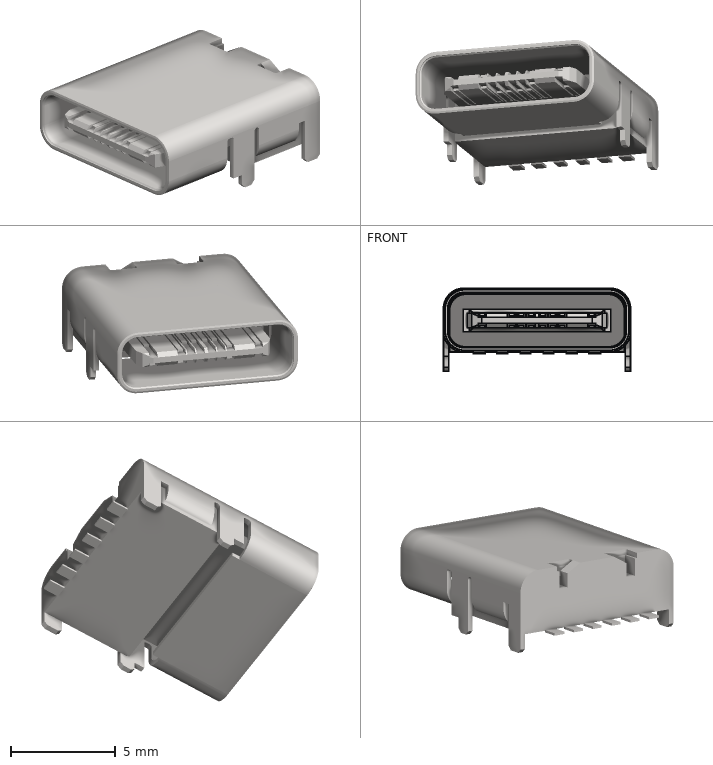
import cadquery as cq
import math


SHELL_WIDTH = 8.94
SHELL_HEIGHT = 3.06
SHELL_LENGTH = 10.0
WALL = 0.26
CORNER_RADIUS = 1.0
RIM_CHAMFER_WIDTH = 0.03
RIM_CHAMFER_LENGTH = 0.09
MOUTH_CHAMFER = 0.05

HALF_WIDTH = SHELL_WIDTH / 2
INNER_HALF_WIDTH = HALF_WIDTH - WALL
INNER_TOP = SHELL_HEIGHT - WALL
INNER_RADIUS = CORNER_RADIUS - WALL
FLAT_HALF_WIDTH = HALF_WIDTH - CORNER_RADIUS

FRONT_GAP = (3.89, 4.3)
MIDDLE_GAP = (5.66, 5.98)
REAR_GAP = (8.6, 9.01)
TALL_GAP_TOP = 1.98
REAR_GAP_TOP = 1.33
FRONT_GAP_FILLET = 0.13

LEG_BOTTOM = -0.92
LEG_CHAMFER = 0.19
STEP_BOTTOM = -0.2
STEP_END = 4.86
TAB_BOTTOM = 0.32

NOTCH_INNER = 0.99
NOTCH_OUTER = 2.32
NOTCH_DEPTH = 0.89
NOTCH_FILLET = 0.1
FINGER_TIP = 1.72
FINGER_LENGTH = 0.6
FINGER_ANGLE = 30
FINGER_DROP = (FINGER_TIP - NOTCH_INNER) * math.tan(math.radians(FINGER_ANGLE))

BLOCK_FRONT = 5.18
FACE_STEP = 0.04
FACE_STEP_LENGTH = 0.11

POCKET_OUTER = 2.2
POCKET_DEPTH = 0.8
POCKET_BOTTOM = 1.94

TONGUE_MID_Z = 1.51
BASE_HALF_WIDTH = 3.52
BASE_HALF_HEIGHT = 0.54
BASE_FRONT = 3.46
RAMP_HALF_WIDTH = 3.24
RAMP_FRONT = 3.26
RAMP_SLIM = 0.18

TONGUE_HALF_HEIGHT = 0.35
TIP_HALF_HEIGHT = 0.14
TIP_Y = 0.22
TIP_CHAMFER_END = 0.39
TIP_HALF_WIDTH = 2.64
CORNER_Y = 0.39
CORNER_HALF_WIDTH = 3.12
TAPER_END = 0.86
TONGUE_HALF_WIDTH = 3.33

SLOT_POSITIONS = (-2.61, -1.21, -0.75, -0.28, 0.28, 0.75, 1.21, 2.61)
LONG_CONTACTS = (-1.21, 1.21, 2.61)
SLOT_WIDTH = 0.4
SLOT_END = 3.02
CONTACT_WIDTH = 0.25
CONTACT_UNDERSIDE = 0.23
CONTACT_TOP = 0.33
LONG_CONTACT_FRONT = 0.5
SHORT_CONTACT_FRONT = 1.51

TAIL_END = 10.8
TAIL_BOTTOM = -0.08
TAIL_THICKNESS = 0.12
TAIL_PITCH = 1.1
TAIL_WIDTHS = (0.57, 0.53, 0.49, 0.49, 0.53, 0.57)


def box(x_range, y_range, z_range):
    """Box between two limits along each axis."""
    sizes = [high - low for low, high in (x_range, y_range, z_range)]
    lows = (x_range[0], y_range[0], z_range[0])
    return cq.Workplane("XY").box(*sizes, centered=False).translate(lows)


def both_sides(solid):
    """A solid together with its mirror image across X = 0."""
    return solid.union(solid.mirror("YZ"))


def along_y(outline, front, back):
    """Extrude a closed XZ outline from one Y position to another."""
    return cq.Workplane("XZ", origin=(0, front, 0)).polyline(outline).close().extrude(front - back)


def side_plate(outline):
    """Flat piece of the -X side wall cut to a YZ outline."""
    return cq.Workplane("YZ", origin=(-HALF_WIDTH, 0, 0)).polyline(outline).close().extrude(WALL)


def rounded_bar(inset, radius, front, back):
    """Bar along Y with rounded edges, its sides set in from the outside of the shell."""
    half_width = HALF_WIDTH - inset
    bar = box((-half_width, half_width), (front, back), (inset, SHELL_HEIGHT - inset))
    return bar.edges("|Y").fillet(radius)


def tube():
    """Rounded sheet-metal tube with the outer and inner edges of its mouth broken."""
    outer = rounded_bar(0, CORNER_RADIUS, 0, SHELL_LENGTH)
    outer = outer.faces("<Y").chamfer(RIM_CHAMFER_LENGTH, RIM_CHAMFER_WIDTH)
    mouth_inset = WALL - MOUTH_CHAMFER
    mouth = rounded_bar(mouth_inset, CORNER_RADIUS - mouth_inset, 0, 2 * MOUTH_CHAMFER)
    mouth = mouth.faces(">Y").chamfer(MOUTH_CHAMFER)
    return outer.cut(rounded_bar(WALL, INNER_RADIUS, 0, SHELL_LENGTH)).cut(mouth)


def legs():
    """Rear leg and stepped front leg of the -X side, joined to the wall above the bend."""
    top = CORNER_RADIUS
    chamfer_top = LEG_BOTTOM + LEG_CHAMFER
    rear_start = REAR_GAP[1]
    rear = side_plate([
        (rear_start, top),
        (rear_start, chamfer_top),
        (rear_start + LEG_CHAMFER, LEG_BOTTOM),
        (SHELL_LENGTH - LEG_CHAMFER, LEG_BOTTOM),
        (SHELL_LENGTH, chamfer_top),
        (SHELL_LENGTH, top),
    ])
    front_start, front_end = FRONT_GAP[1], MIDDLE_GAP[0]
    front = side_plate([
        (front_start, top),
        (front_start, STEP_BOTTOM),
        (STEP_END, STEP_BOTTOM),
        (STEP_END, chamfer_top),
        (STEP_END + LEG_CHAMFER, LEG_BOTTOM),
        (front_end - LEG_CHAMFER, LEG_BOTTOM),
        (front_end, chamfer_top),
        (front_end, top),
    ])
    return front, rear


def side_gaps():
    """Gaps through the -X wall: round-topped, square and corner-rounded ones."""
    wall = (-HALF_WIDTH, -FLAT_HALF_WIDTH)
    front = box(wall, FRONT_GAP, (0, TALL_GAP_TOP)).edges("|X and >Z").fillet(FRONT_GAP_FILLET)
    radius = (MIDDLE_GAP[1] - MIDDLE_GAP[0]) / 2
    middle = box(wall, MIDDLE_GAP, (0, TALL_GAP_TOP - radius))
    round_end = (
        cq.Workplane("YZ", origin=(-HALF_WIDTH, 0, 0))
        .center(MIDDLE_GAP[0] + radius, TALL_GAP_TOP - radius)
        .circle(radius)
        .extrude(CORNER_RADIUS)
    )
    rear = box(wall, REAR_GAP, (0, REAR_GAP_TOP))
    return front.union(middle).union(round_end).union(rear)


def finger():
    """Finger of the +X side, sloping outward and down from the top sheet."""
    outline = [
        (NOTCH_INNER, SHELL_HEIGHT),
        (FINGER_TIP, SHELL_HEIGHT - FINGER_DROP),
        (FINGER_TIP, INNER_TOP - FINGER_DROP),
        (NOTCH_INNER, INNER_TOP),
    ]
    return along_y(outline, SHELL_LENGTH - FINGER_LENGTH, SHELL_LENGTH)


def make_shell():
    body = tube()
    tab_zone = box((-HALF_WIDTH, -FLAT_HALF_WIDTH), (MIDDLE_GAP[1], REAR_GAP[0]), (TAB_BOTTOM, CORNER_RADIUS))
    tabs = body.intersect(both_sides(tab_zone))
    floor = box((-FLAT_HALF_WIDTH, FLAT_HALF_WIDTH), FRONT_GAP, (0, WALL))
    lower_zone = box((-HALF_WIDTH, HALF_WIDTH), (FRONT_GAP[0], SHELL_LENGTH), (0, CORNER_RADIUS))
    body = body.cut(lower_zone).union(floor).union(tabs)
    for leg in legs():
        body = body.union(both_sides(leg))
    body = body.cut(both_sides(side_gaps()))

    notch = box((NOTCH_INNER, NOTCH_OUTER), (SHELL_LENGTH - NOTCH_DEPTH, SHELL_LENGTH), (INNER_TOP, SHELL_HEIGHT))
    notch = notch.edges("|Z and <Y").fillet(NOTCH_FILLET)
    return body.cut(both_sides(notch)).union(both_sides(finger()))


def arched_bar(half_width, top, front, back):
    """Bar along Y with a flat underside and rounded upper edges."""
    return box((-half_width, half_width), (front, back), (0, top)).edges("|Y and >Z").fillet(INNER_RADIUS)


def rear_block():
    """Block filling the rear of the shell, with a pocket under each finger."""
    step_end = BLOCK_FRONT + FACE_STEP_LENGTH
    block = arched_bar(INNER_HALF_WIDTH, INNER_TOP, step_end, SHELL_LENGTH)
    face = arched_bar(INNER_HALF_WIDTH - FACE_STEP, INNER_TOP - FACE_STEP, BLOCK_FRONT, step_end)
    block = block.union(face)
    pocket = along_y(
        [
            (NOTCH_INNER, INNER_TOP),
            (FINGER_TIP, INNER_TOP - FINGER_DROP),
            (FINGER_TIP, POCKET_BOTTOM),
            (POCKET_OUTER, POCKET_BOTTOM),
            (POCKET_OUTER, INNER_TOP),
        ],
        SHELL_LENGTH - POCKET_DEPTH,
        SHELL_LENGTH,
    )
    return block.cut(both_sides(pocket))


def tongue_base():
    """Thick root of the tongue and the ramp down to the tongue itself."""
    root = box(
        (-BASE_HALF_WIDTH, BASE_HALF_WIDTH),
        (BASE_FRONT, BLOCK_FRONT),
        (TONGUE_MID_Z - BASE_HALF_HEIGHT, TONGUE_MID_Z + BASE_HALF_HEIGHT),
    )
    ramp_length = BASE_FRONT - RAMP_FRONT
    ramp = (
        cq.Workplane("XZ", origin=(0, BASE_FRONT, TONGUE_MID_Z))
        .rect(2 * RAMP_HALF_WIDTH, 2 * BASE_HALF_HEIGHT)
        .workplane(offset=ramp_length)
        .rect(2 * (RAMP_HALF_WIDTH - RAMP_SLIM), 2 * (BASE_HALF_HEIGHT - RAMP_SLIM))
        .loft()
    )
    return root.union(ramp)


def tongue():
    """Flat tongue with a tapered plan and a wedge-shaped tip."""
    half_plan = [
        (TIP_HALF_WIDTH, TIP_Y),
        (CORNER_HALF_WIDTH, CORNER_Y),
        (TONGUE_HALF_WIDTH, TAPER_END),
        (TONGUE_HALF_WIDTH, BASE_FRONT),
    ]
    plan = half_plan + [(-x, y) for x, y in reversed(half_plan)]
    body = (
        cq.Workplane("XY", origin=(0, 0, TONGUE_MID_Z))
        .polyline(plan)
        .close()
        .extrude(TONGUE_HALF_HEIGHT, both=True)
    )
    half_profile = [
        (TIP_Y, TIP_HALF_HEIGHT),
        (TIP_CHAMFER_END, TONGUE_HALF_HEIGHT),
        (BASE_FRONT, TONGUE_HALF_HEIGHT),
    ]
    profile = half_profile + [(y, -z) for y, z in reversed(half_profile)]
    wedge = (
        cq.Workplane("YZ", origin=(0, 0, TONGUE_MID_Z))
        .polyline(profile)
        .close()
        .extrude(TONGUE_HALF_WIDTH, both=True)
    )
    return body.intersect(wedge)


def contact_slot(x):
    """Slot in the top of the tongue, open at the tip."""
    floor = TONGUE_MID_Z + TIP_HALF_HEIGHT
    x_range = (x - SLOT_WIDTH / 2, x + SLOT_WIDTH / 2)
    return box(x_range, (TIP_Y, SLOT_END), (floor, TONGUE_MID_Z + TONGUE_HALF_HEIGHT))


def contact_bar(x):
    """Bar along a slot, held at the slot's closed end and clear of its floor."""
    front = LONG_CONTACT_FRONT if x in LONG_CONTACTS else SHORT_CONTACT_FRONT
    x_range = (x - CONTACT_WIDTH / 2, x + CONTACT_WIDTH / 2)
    return box(x_range, (front, SLOT_END), (TONGUE_MID_Z + CONTACT_UNDERSIDE, TONGUE_MID_Z + CONTACT_TOP))


def half_turned(solid):
    """A solid turned half a turn about the tongue's centre line."""
    return solid.rotate((0, 0, TONGUE_MID_Z), (0, 1, TONGUE_MID_Z), 180)


def make_insulator(shell):
    slotted = tongue()
    for x in SLOT_POSITIONS:
        slot = contact_slot(x)
        bar = contact_bar(x)
        slotted = slotted.cut(slot).cut(half_turned(slot))
        slotted = slotted.union(bar).union(half_turned(bar))
    body = rear_block().union(tongue_base()).union(slotted)
    return body.cut(shell)


def make_tail(x, width):
    x_range = (x - width / 2, x + width / 2)
    return box(x_range, (SHELL_LENGTH, TAIL_END), (TAIL_BOTTOM, TAIL_BOTTOM + TAIL_THICKNESS))


shell = make_shell()
insulator = make_insulator(shell)
tails = []
for index, width in enumerate(TAIL_WIDTHS):
    x = (index - (len(TAIL_WIDTHS) - 1) / 2) * TAIL_PITCH
    tails.append(make_tail(x, width).val())

result = cq.Compound.makeCompound([shell.val(), insulator.val(), *tails])